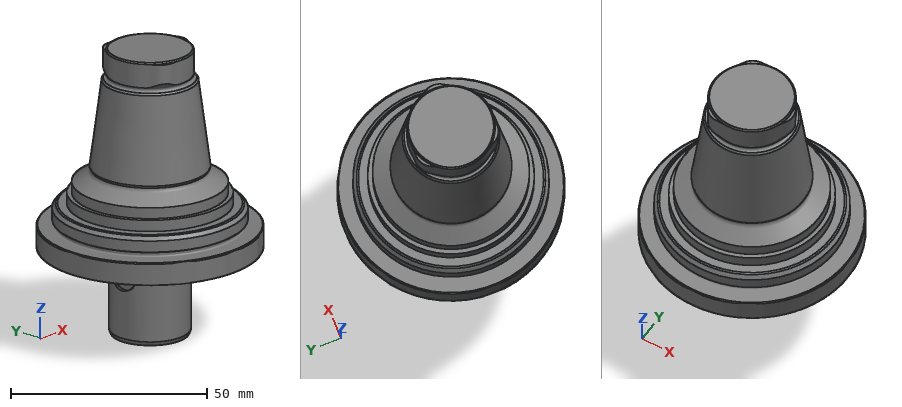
import cadquery as cq
import math

total_height = 77.0
shank_radius = 21.0 / 2
shank_chamfer_height = 1.15
shank_chamfer_width = 0.5

flange_radius = 28.99
flange_bottom = 23.2
flange_top = 29.25
flange_chamfer = 0.3
flange_lower_chamfer = 0.15
wide_flat_distance = 28.8
narrow_flat_distance = 28.84
wide_flat_angles = [0, 60, 120, 180, 240, 300]
narrow_flat_angles = [90, 270]

undercut_radius = 24.1
undercut_top = 30.3
undercut_fillet = 0.5
collar_radius = 50.0 / 2
collar_lower_edge = 30.8
collar_top = 35.0
collar_chamfer_height = 1.2
collar_top_radius = 48.1 / 2
collar_lip_radius = 23.6
collar_lip_height = 0.2
middle_step_radius = 42.4 / 2
middle_step_top = 38.0
upper_step_radius = 40.0 / 2
upper_step_top = 41.0

cone_top_radius = 15.9
cone_top = 43.35
neck_radius = 15.1
neck_top = 44.5
neck_arc_radius = 1.4
taper_bottom = 45.2
taper_bottom_radius = 15.5
taper_top = 68.5
taper_top_radius = 12.4
shoulder_top = 69.1
shoulder_radius = 11.9

head_radius = 11.25
head_bottom = 70.2
head_chamfer = 0.4
head_neck_radius = 10.9
head_neck_height = 69.85
lobe_reach = 12.2
lobe_tip_radius = 4.4
lobe_blend_radius = 19.25
lobe_top = total_height - head_chamfer
lobe_underside_rise = 1.2
lobe_angles = [0, 120, 240]

dimple_diameter = 8.0
dimple_height = 18.0
dimple_depth = 1.0


def make_turned_body():
    """Revolve the half profile around Z."""
    profile = (
        cq.Workplane("XZ")
        .lineTo(shank_radius - shank_chamfer_width, 0)
        .lineTo(shank_radius, shank_chamfer_height)
        .lineTo(shank_radius, flange_bottom)
        .lineTo(flange_radius - flange_lower_chamfer, flange_bottom)
        .lineTo(flange_radius, flange_bottom + flange_lower_chamfer)
        .lineTo(flange_radius, flange_top - flange_chamfer)
        .lineTo(flange_radius - flange_chamfer, flange_top)
        .lineTo(undercut_radius + undercut_fillet, flange_top)
        .radiusArc((undercut_radius, flange_top + undercut_fillet), undercut_fillet)
        .lineTo(undercut_radius, undercut_top)
        .lineTo(collar_radius, collar_lower_edge)
        .lineTo(collar_radius, collar_top - collar_chamfer_height)
        .lineTo(collar_top_radius, collar_top - collar_lip_height)
        .lineTo(collar_lip_radius, collar_top)
        .lineTo(middle_step_radius, collar_top)
        .lineTo(middle_step_radius, middle_step_top)
        .lineTo(upper_step_radius, middle_step_top)
        .lineTo(upper_step_radius, upper_step_top)
        .lineTo(cone_top_radius, cone_top)
        .radiusArc((neck_radius, neck_top), neck_arc_radius)
        .lineTo(taper_bottom_radius, taper_bottom)
        .lineTo(taper_top_radius, taper_top)
        .lineTo(shoulder_radius, shoulder_top)
        .threePointArc((head_neck_radius, head_neck_height), (head_radius, head_bottom))
        .lineTo(head_radius, total_height - head_chamfer)
        .lineTo(head_radius - head_chamfer, total_height)
        .lineTo(0, total_height)
        .close()
    )
    return profile.revolve(360, (0, 0, 0), (0, 1, 0))


def make_lobe():
    """Cam lobe pointing along +X, blended tangentially into the head."""
    tip_center = lobe_reach - lobe_tip_radius
    head_to_blend = head_radius + lobe_blend_radius
    tip_to_blend = lobe_tip_radius + lobe_blend_radius
    blend_x = (head_to_blend**2 - tip_to_blend**2 + tip_center**2) / (2 * tip_center)
    blend_y = math.sqrt(head_to_blend**2 - blend_x**2)
    root_x = blend_x * head_radius / head_to_blend
    root_y = blend_y * head_radius / head_to_blend
    tip_x = tip_center + (blend_x - tip_center) * lobe_tip_radius / tip_to_blend
    tip_y = blend_y * lobe_tip_radius / tip_to_blend

    chord_dx = (root_x + tip_x) / 2 - blend_x
    chord_dy = (root_y + tip_y) / 2 - blend_y
    reach = lobe_blend_radius / math.hypot(chord_dx, chord_dy)
    mid_x = blend_x + chord_dx * reach
    mid_y = blend_y + chord_dy * reach

    prism = (
        cq.Workplane("XY", origin=(0, 0, head_bottom))
        .lineTo(root_x, -root_y)
        .threePointArc((mid_x, -mid_y), (tip_x, -tip_y))
        .threePointArc((lobe_reach, 0), (tip_x, tip_y))
        .threePointArc((mid_x, mid_y), (root_x, root_y))
        .close()
        .extrude(lobe_top - head_bottom)
    )
    envelope = (
        cq.Workplane("XZ")
        .moveTo(0, head_bottom)
        .lineTo(head_radius, head_bottom)
        .lineTo(lobe_reach, head_bottom + lobe_underside_rise)
        .lineTo(lobe_reach, lobe_top)
        .lineTo(0, lobe_top)
        .close()
        .revolve(360, (0, 0, 0), (0, 1, 0))
    )
    return prism.intersect(envelope)


def cut_flange_flat(body, distance, angle):
    """Mill a flat on the flange rim, facing the given direction."""
    cutter_depth = flange_radius - distance
    cutter = (
        cq.Workplane("XY", origin=(distance, 0, flange_bottom))
        .rect(cutter_depth, 2 * flange_radius)
        .extrude(flange_top - flange_bottom)
        .translate((cutter_depth / 2, 0, 0))
        .rotate((0, 0, 0), (0, 0, 1), angle)
    )
    return body.cut(cutter)


def make_dimple(side):
    """Flat-bottomed round recess on the +X (1) or -X (-1) side of the shank."""
    floor = side * (shank_radius - dimple_depth)
    return (
        cq.Workplane("YZ", origin=(floor, 0, dimple_height))
        .circle(dimple_diameter / 2)
        .extrude(side * 2 * dimple_depth)
    )


result = make_turned_body()

lobe = make_lobe()
for lobe_angle in lobe_angles:
    result = result.union(lobe.rotate((0, 0, 0), (0, 0, 1), lobe_angle))

for flat_angle in wide_flat_angles:
    result = cut_flange_flat(result, wide_flat_distance, flat_angle)
for flat_angle in narrow_flat_angles:
    result = cut_flange_flat(result, narrow_flat_distance, flat_angle)

for dimple_side in (1, -1):
    result = result.cut(make_dimple(dimple_side))